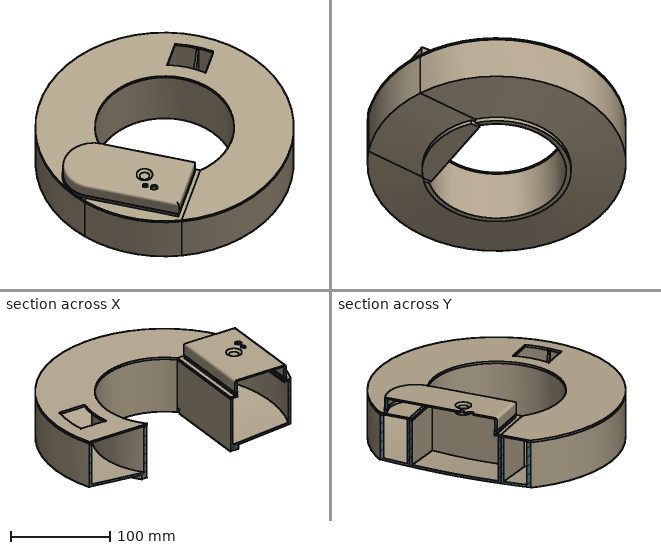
import cadquery as cq
import math

OUTER_RADIUS = 130.0
HOLE_RADIUS = 70.0
FOOT_RADIUS = 74.9
WALL = 3.0
HEIGHT = 80.0
DECK_Z = 62.5
LID_THICKNESS = 2.3
CONE_BOTTOM_Z = 5.0
CONE_TOP_Z = 10.1

HOUSING_HALF_WIDTH = 50.5
FOOT_GAP = 3.0

WINDOW_WIDTH = 40.0
WINDOW_INNER_RADIUS = 85.0
WINDOW_OUTER_RADIUS = 115.0
GUSSET_THICKNESS = 2.3
GUSSET_CURVE_RADIUS = 52.8

CASE_WIDTH = 62.0
CASE_END_X = 46.5
CASE_ARC_X = -50.7
CASE_Y = -84.5
CASE_EDGE_RADIUS = 3.0
CASE_ROOF = 2.0
BASE_HEIGHT = 3.5
BASE_SHIFT_X = -0.5
BASE_SHIFT_Y = -0.5

SENSOR_X = 2.3
SENSOR_Y = -85.0
SENSOR_OPENING_RADIUS = 5.0
SENSOR_FUNNEL_RADIUS = 8.0
SENSOR_HEIGHT = 5.2
LIGHT_HOLES = [(7.0, -99.3, 2.5), (16.5, -99.3, 3.5)]

LID_Z = DECK_Z - LID_THICKNESS
CAP_Z = DECK_Z + BASE_HEIGHT
CAP_HEIGHT = HEIGHT - CAP_Z
ROOF_Z = HEIGHT - CASE_ROOF
CHORD_Y = -math.sqrt(HOLE_RADIUS**2 - HOUSING_HALF_WIDTH**2)
CAVITY_OUTER_RADIUS = OUTER_RADIUS - WALL
CAVITY_INNER_RADIUS = HOLE_RADIUS + WALL
CONE_SLOPE = (CONE_TOP_Z - CONE_BOTTOM_Z) / (OUTER_RADIUS - FOOT_RADIUS)


def underside_z(radius):
    """Height of the sloping underside at a given radius."""
    return CONE_BOTTOM_Z + CONE_SLOPE * (radius - FOOT_RADIUS)


def revolve(points):
    """Solid of revolution about Z from an outline of (radius, z) points."""
    return cq.Workplane("XZ").polyline(points).close().revolve(360, (0, 0), (0, 1))


def slab(half_width, y_max, z_min, z_max):
    """Block centred on X that runs from y_max out past the front of the ring."""
    length = OUTER_RADIUS + WALL + y_max
    block = cq.Workplane("XY").box(2 * half_width, length, z_max - z_min, centered=(True, False, False))
    return block.translate((0, y_max - length, z_min))


def body_disc(inner_radius):
    """Outer shape of the pot below the lids, with its foot and sloping underside."""
    return revolve([
        (inner_radius, 0),
        (FOOT_RADIUS, 0),
        (FOOT_RADIUS, CONE_BOTTOM_Z),
        (OUTER_RADIUS, CONE_TOP_Z),
        (OUTER_RADIUS, LID_Z),
        (inner_radius, LID_Z),
    ])


def cavity_ring(inner_radius):
    """Open-topped space one wall inside the outer shape."""
    return revolve([
        (inner_radius, underside_z(inner_radius) + WALL),
        (CAVITY_OUTER_RADIUS, underside_z(CAVITY_OUTER_RADIUS) + WALL),
        (CAVITY_OUTER_RADIUS, LID_Z),
        (inner_radius, LID_Z),
    ])


def lid_disc():
    """Full disc at the level of the lids."""
    return cq.Workplane("XY", origin=(0, 0, LID_Z)).circle(OUTER_RADIUS).extrude(LID_THICKNESS)


def case_block(inset, z_min, height):
    """Block with one square end and one rounded end, inset from the outline of the case."""
    half_width = CASE_WIDTH / 2 - inset
    end_x = CASE_END_X - inset
    return (
        cq.Workplane("XY", origin=(0, 0, z_min))
        .moveTo(CASE_ARC_X, CASE_Y - half_width)
        .lineTo(end_x, CASE_Y - half_width)
        .lineTo(end_x, CASE_Y + half_width)
        .lineTo(CASE_ARC_X, CASE_Y + half_width)
        .threePointArc((CASE_ARC_X - half_width, CASE_Y), (CASE_ARC_X, CASE_Y - half_width))
        .close()
        .extrude(height)
    )


def make_gusset():
    """Thin rib below the window, hollowed by an arc tangent to the outer wall."""
    root = OUTER_RADIUS - WALL / 2
    curve_y = CAVITY_OUTER_RADIUS - GUSSET_CURVE_RADIUS
    block = (
        cq.Workplane("YZ")
        .polyline([
            (curve_y, underside_z(curve_y) + WALL / 2),
            (root, underside_z(root) + WALL / 2),
            (root, LID_Z),
            (curve_y, LID_Z),
        ])
        .close()
        .extrude(GUSSET_THICKNESS / 2, both=True)
    )
    hollow = (
        cq.Workplane("YZ")
        .center(curve_y, LID_Z)
        .circle(GUSSET_CURVE_RADIUS)
        .extrude(GUSSET_THICKNESS, both=True)
    )
    return block.cut(hollow)


def make_reservoir():
    """C-shaped water tank, open at the top."""
    cavity = cavity_ring(CAVITY_INNER_RADIUS).cut(slab(HOUSING_HALF_WIDTH + WALL, 0, 0, HEIGHT))
    tank = body_disc(HOLE_RADIUS).cut(slab(HOUSING_HALF_WIDTH, 0, 0, HEIGHT)).cut(cavity)
    return tank.union(make_gusset())


def make_reservoir_lid():
    """C-shaped lid with the filling window at the back."""
    window = (
        cq.Workplane("XY")
        .circle(WINDOW_OUTER_RADIUS)
        .circle(WINDOW_INNER_RADIUS)
        .extrude(HEIGHT)
        .intersect(
            cq.Workplane("XY").box(WINDOW_WIDTH, OUTER_RADIUS, HEIGHT, centered=(True, False, False))
        )
    )
    hole = cq.Workplane("XY").circle(HOLE_RADIUS).extrude(HEIGHT)
    return lid_disc().cut(hole).cut(slab(HOUSING_HALF_WIDTH, 0, 0, HEIGHT)).cut(window)


def make_housing():
    """Electronics box that closes the gap in the reservoir, open at the top."""
    footprint = slab(HOUSING_HALF_WIDTH, CHORD_Y, CONE_BOTTOM_Z, HEIGHT).union(
        slab(HOUSING_HALF_WIDTH - FOOT_GAP, CHORD_Y, 0, CONE_BOTTOM_Z)
    )
    inside = slab(HOUSING_HALF_WIDTH - WALL, CHORD_Y - WALL, 0, HEIGHT)
    cavity = cavity_ring(0).intersect(inside)
    return body_disc(0).intersect(footprint).cut(cavity)


def make_housing_lid():
    """Flat lid of the electronics box, open below the sensor case."""
    opening = case_block(WALL, 0, HEIGHT).translate((BASE_SHIFT_X, BASE_SHIFT_Y, 0)).intersect(
        slab(HOUSING_HALF_WIDTH - WALL, CHORD_Y - WALL, 0, HEIGHT)
    )
    return lid_disc().intersect(slab(HOUSING_HALF_WIDTH, CHORD_Y, 0, HEIGHT)).cut(opening)


def make_case_base():
    """Open frame that carries the sensor case on top of the lids."""
    frame = case_block(0, DECK_Z, BASE_HEIGHT).cut(case_block(WALL, DECK_Z, BASE_HEIGHT))
    return frame.translate((BASE_SHIFT_X, BASE_SHIFT_Y, 0))


def make_case_cap():
    """Hollow rounded cap with the sensor funnel and two light holes through its roof."""
    cap = case_block(0, CAP_Z, CAP_HEIGHT).faces(">Z").edges().fillet(CASE_EDGE_RADIUS)
    cap = cap.cut(case_block(WALL, CAP_Z, CAP_HEIGHT - CASE_ROOF))
    funnel = cq.Solid.makeCone(
        SENSOR_OPENING_RADIUS,
        SENSOR_FUNNEL_RADIUS,
        CASE_ROOF,
        cq.Vector(SENSOR_X, SENSOR_Y, ROOF_Z),
    )
    cap = cap.cut(cq.Workplane(funnel))
    for x, y, radius in LIGHT_HOLES:
        cap = cap.cut(cq.Workplane("XY", origin=(x, y, ROOF_Z)).circle(radius).extrude(CASE_ROOF))
    return cap


def make_sensor():
    """Round sensor held against the underside of the roof, behind the funnel."""
    bottom = (SENSOR_X, SENSOR_Y, ROOF_Z - SENSOR_HEIGHT)
    return cq.Workplane("XY", origin=bottom).circle(SENSOR_FUNNEL_RADIUS).extrude(SENSOR_HEIGHT)


reservoir = make_reservoir()
reservoir_lid = make_reservoir_lid()
housing = make_housing()
housing_lid = make_housing_lid()
case_base = make_case_base()
case_cap = make_case_cap()
sensor = make_sensor()

result = cq.Compound.makeCompound([
    reservoir.val(),
    reservoir_lid.val(),
    housing.val(),
    housing_lid.val(),
    case_base.val(),
    case_cap.val(),
    sensor.val(),
])